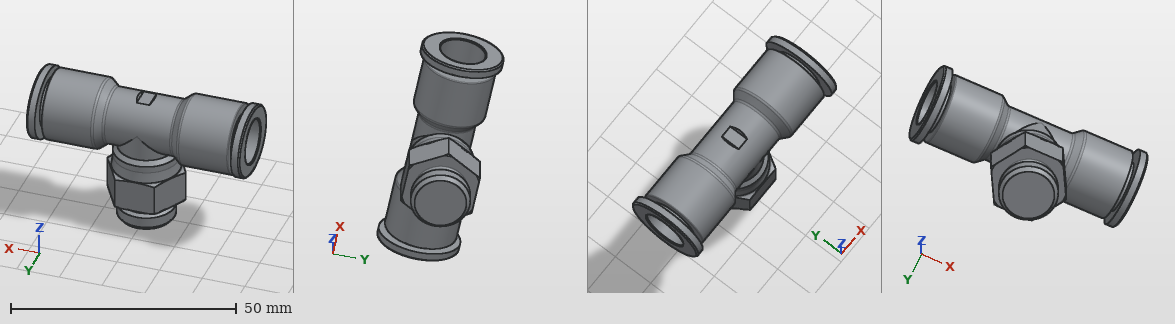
import cadquery as cq
import math


overall_length = 50.0
run_radius = 6.5
socket_radius = 8.15
socket_end = 21.8
socket_edge_radius = 0.2
cone_outer = 10.0
cone_inner = 7.95
shoulder_blend_radius = 0.9

collar_width = 18.5
collar_height = 16.0
collar_thickness = 2.0
collar_chamfer = 0.35
collar_neck_radius = 5.85

bore_radius = 5.1
bore_depth = 15.0
bore_chamfer = 0.25

notch_floor_length = 3.0
notch_depth = 0.45

branch_cone_top = -6.15
branch_cone_bottom = -7.2
taper_top = -8.7
hex_top = -11.3
hex_bottom = -18.85
groove_bottom = -20.75
thread_top = -21.35
thread_chamfer_top = -23.8
branch_bottom = -24.8

branch_collar_radius = 7.5
taper_bottom_radius = 7.8
groove_radius = 5.65
groove_fillet = 0.4
thread_radius = 6.6
thread_end_radius = 5.75

hex_across_flats = 16.0
hex_inradius = hex_across_flats / 2
hex_corner_radius = hex_inradius / math.cos(math.pi / 6)
hex_top_chamfer = 0.35
hex_bottom_chamfer = 0.2
hex_bottom_face_radius = 8.75


def make_run():
    """Run with a shoulder cone and a socket towards each end."""
    right_side = [
        (cone_inner, run_radius),
        (cone_outer, socket_radius),
        (socket_end, socket_radius),
        (socket_end, 0),
    ]
    left_side = [(-x, radius) for x, radius in reversed(right_side)]
    run = cq.Workplane("XY").polyline(left_side + right_side).close().revolve(360, (0, 0, 0), (1, 0, 0))
    run = run.faces("<X or >X").edges().fillet(socket_edge_radius)
    return run.faces("%CONE").edges("%CIRCLE").fillet(shoulder_blend_radius)


def make_collar():
    """Oval release collar and its round neck at the +X end."""
    collar_start = overall_length / 2 - collar_thickness
    neck = (
        cq.Workplane("YZ", origin=(socket_end, 0, 0))
        .circle(collar_neck_radius)
        .extrude(collar_start - socket_end)
    )
    collar = (
        cq.Workplane("YZ", origin=(collar_start, 0, 0))
        .ellipse(collar_width / 2, collar_height / 2)
        .extrude(collar_thickness)
        .faces(">X").edges()
        .chamfer(collar_chamfer)
    )
    return neck.union(collar)


def make_bore():
    """Cutter for the blind tube bore at the +X end, with a chamfered mouth."""
    end = overall_length / 2
    profile = [
        (end - bore_depth, 0),
        (end - bore_depth, bore_radius),
        (end - bore_chamfer, bore_radius),
        (end, bore_radius + bore_chamfer),
        (end, 0),
    ]
    return cq.Workplane("XY").polyline(profile).close().revolve(360, (0, 0, 0), (1, 0, 0))


def make_branch():
    """Turned branch: run-sized stem, collar, taper, groove and threaded end."""
    return (
        cq.Workplane("XZ")
        .lineTo(run_radius, 0)
        .lineTo(run_radius, branch_cone_top)
        .lineTo(branch_collar_radius, branch_cone_bottom)
        .lineTo(branch_collar_radius, taper_top)
        .lineTo(taper_bottom_radius, hex_top)
        .lineTo(taper_bottom_radius, hex_bottom)
        .lineTo(groove_radius + groove_fillet, hex_bottom)
        .radiusArc((groove_radius, hex_bottom - groove_fillet), -groove_fillet)
        .lineTo(groove_radius, groove_bottom)
        .lineTo(thread_radius, thread_top)
        .lineTo(thread_radius, thread_chamfer_top)
        .lineTo(thread_end_radius, branch_bottom)
        .lineTo(0, branch_bottom)
        .close()
        .revolve(360, (0, 0, 0), (0, 1, 0))
    )


def make_hexagon():
    """Hexagon with corners on the X axis and turned chamfers at both ends."""
    hexagon = (
        cq.Workplane("XY", origin=(0, 0, hex_bottom))
        .polygon(6, 2 * hex_corner_radius)
        .extrude(hex_top - hex_bottom)
    )
    turned_profile = [
        (0, hex_bottom),
        (hex_bottom_face_radius, hex_bottom),
        (hex_corner_radius, hex_bottom + hex_bottom_chamfer),
        (hex_corner_radius, hex_top - hex_top_chamfer),
        (hex_inradius, hex_top),
        (0, hex_top),
    ]
    turned = cq.Workplane("XZ").polyline(turned_profile).close().revolve(360, (0, 0, 0), (0, 1, 0))
    return hexagon.intersect(turned)


def make_notch():
    """Cutter for the flat on top of the run, with 45 degree end walls."""
    floor_half = notch_floor_length / 2
    top_half = floor_half + 2 * notch_depth
    floor_level = run_radius - notch_depth
    profile = [
        (-floor_half, floor_level),
        (floor_half, floor_level),
        (top_half, run_radius + notch_depth),
        (-top_half, run_radius + notch_depth),
    ]
    return cq.Workplane("XZ").polyline(profile).close().extrude(run_radius, both=True)


collar = make_collar()
bore = make_bore()
result = make_run().union(make_branch()).union(make_hexagon()).cut(make_notch())
result = result.union(collar).union(collar.mirror("YZ"))
result = result.cut(bore).cut(bore.mirror("YZ"))